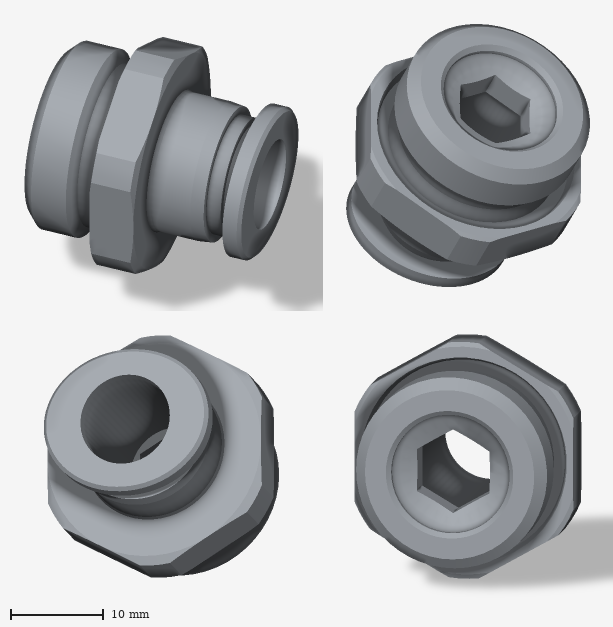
import cadquery as cq
import math


head_end = 5.2
groove_start = 6.0
groove_end = 8.0
hex_start = 8.5
hex_end = 13.55
sleeve_start = 14.0
sleeve_taper_start = 18.5
sleeve_end = 20.0
collar_end = 21.6
flange_start = 22.78
total_length = 24.8

head_radius = 10.48
groove_radius = 9.1
sleeve_radius = 7.75
sleeve_end_radius = 7.57
collar_radius = 6.65
neck_radius = 5.85

cone_slope = math.tan(math.radians(20))
head_chamfer = 1.2

hex_across_flats = 24.0
hex_corner_radius = 13.0
hex_left_face_radius = 12.5
hex_right_face_radius = 12.0
seal_recess_radius = 11.3
seal_recess_depth = 1.12

flange_half_width = 9.25
flange_half_height = 8.0
flange_chamfer = 0.4

mouth_chamfer = 0.5
mouth_radius = 6.5
mouth_depth = 1.0
drill_half_angle = 60
key_across_flats = 7.95
key_end = 5.35
tube_bore_radius = 5.02


def revolve_about_axis(points):
    """Turn a closed (x, radius) outline about the X axis."""
    return cq.Workplane("XY").polyline(points).close().revolve(360, (0, 0, 0), (1, 0, 0))


def hex_bar(across_flats, start, end):
    """Hexagonal bar along X with its corners at the top and bottom."""
    corner_diameter = across_flats / math.cos(math.radians(30))
    bar = cq.Workplane("YZ", origin=(start, 0, 0)).polygon(6, corner_diameter).extrude(end - start)
    return bar.rotate((0, 0, 0), (1, 0, 0), 90)


def turned_body():
    """Threaded head, groove, sleeve, collar and neck as one revolved outline."""
    recess_floor = hex_start + seal_recess_depth
    groove_flare_radius = groove_radius + (recess_floor - groove_end) * cone_slope
    sleeve_root_radius = sleeve_radius + (sleeve_start - hex_end) * cone_slope
    return revolve_about_axis([
        (0, 0),
        (0, head_radius - head_chamfer),
        (head_chamfer, head_radius),
        (head_end, head_radius),
        (groove_start, groove_radius),
        (groove_end, groove_radius),
        (recess_floor, groove_flare_radius),
        (hex_end, sleeve_root_radius),
        (sleeve_start, sleeve_radius),
        (sleeve_taper_start, sleeve_radius),
        (sleeve_end, sleeve_end_radius),
        (sleeve_end, collar_radius),
        (collar_end, collar_radius),
        (collar_end, neck_radius),
        (flange_start, neck_radius),
        (flange_start, 0),
    ])


def hex_nut():
    """Hexagon with turned corners, coned faces and a seal recess in its -X face."""
    left_chamfer = (hex_corner_radius - hex_left_face_radius) * cone_slope
    right_chamfer = (hex_corner_radius - hex_right_face_radius) * cone_slope
    corner_envelope = revolve_about_axis([
        (hex_start, 0),
        (hex_start, hex_left_face_radius),
        (hex_start + left_chamfer, hex_corner_radius),
        (hex_end - right_chamfer, hex_corner_radius),
        (hex_end, hex_right_face_radius),
        (hex_end, 0),
    ])
    seal_recess_floor_radius = seal_recess_radius - seal_recess_depth * cone_slope
    seal_recess = revolve_about_axis([
        (hex_start, 0),
        (hex_start, seal_recess_radius),
        (hex_start + seal_recess_depth, seal_recess_floor_radius),
        (hex_start + seal_recess_depth, 0),
    ])
    return hex_bar(hex_across_flats, hex_start, hex_end).intersect(corner_envelope).cut(seal_recess)


def release_flange():
    """Elliptical flange, wider in Y than in Z, with a chamfered outer rim."""
    base = cq.Workplane("YZ", origin=(flange_start, 0, 0))
    flange = base.ellipse(flange_half_width, flange_half_height).extrude(total_length - flange_start)
    return flange.faces(">X").edges().chamfer(flange_chamfer)


def passage():
    """Chamfered mouth with a drill-point floor, hexagon key socket and tube bore."""
    drill_tip = mouth_depth + mouth_radius / math.tan(math.radians(drill_half_angle))
    mouth = revolve_about_axis([
        (0, 0),
        (0, mouth_radius + mouth_chamfer),
        (mouth_chamfer, mouth_radius),
        (mouth_depth, mouth_radius),
        (drill_tip, 0),
    ])
    key_socket = hex_bar(key_across_flats, 0, key_end)
    tube_bore = (
        cq.Workplane("YZ", origin=(key_end, 0, 0))
        .circle(tube_bore_radius)
        .extrude(total_length - key_end)
    )
    return mouth.union(key_socket).union(tube_bore)


result = turned_body().union(hex_nut()).union(release_flange()).cut(passage())